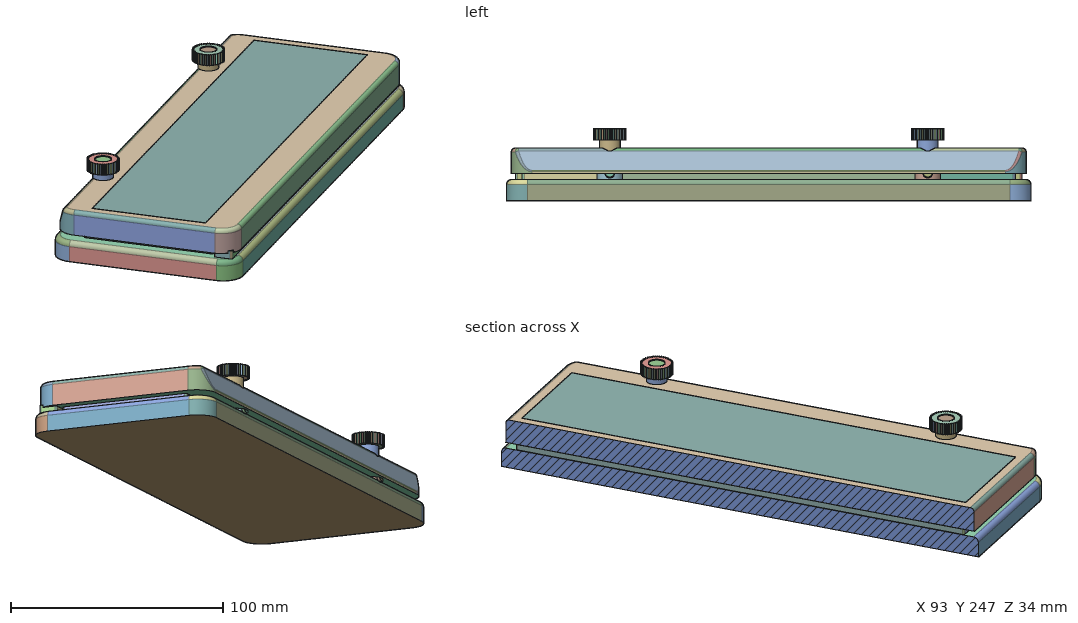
import cadquery as cq
import math

length = 247.0
width = 93.0
base_height = 10.1
base_fillet = 2.5
corner_radius = 10.0

lid_inset_x = 1.5
lid_inset_y = 2.2
lid_bottom = 12.8
lid_top = 25.0
lid_fillet = 2.0
slope_start = 14.0
slope_angle = 19.0

window_left = 18.3
window_width = 56.5
window_length = 229.7
window_depth = 0.12

plate_inset_y = 7.5
plate_left = 14.5
plate_right = 79.0
bar_inset_y = 4.2
bar_left = 80.5
bar_right = 89.7
support_corner_radius = 1.0

screw_x = 9.6
screw_spacing = 149.7
post_diameter = 11.9
collar_diameter = 10.0
knob_bottom = 28.7
knob_top = 34.0
knob_diameter = 15.3
knurl_count = 48
knurl_depth = 0.7
recess_diameter = 8.0
recess_depth = 0.5
pin_diameter = 4.5
pin_height = 13.3
pin_reach = 6.5
pin_length = 5.0

left_side = -width / 2
overlap = 1.2
support_bottom = base_height - overlap
support_top = lid_bottom + overlap


def block(x_from, x_to, y_length, z_from, z_to):
    """Box between two distances from the left side, centred along Y."""
    box = cq.Workplane("XY").box(x_to - x_from, y_length, z_to - z_from, centered=(False, True, False))
    return box.translate((left_side + x_from, 0, z_from))


def base():
    plate = block(0, width, length, 0, base_height)
    return plate.edges("|Z").fillet(corner_radius).faces(">Z").edges().fillet(base_fillet)


def lid():
    """Rounded cover whose left wall leans inward above a short upright strip."""
    body = block(lid_inset_x, width - lid_inset_x, length - 2 * lid_inset_y, lid_bottom, lid_top)
    body = body.edges("|Z").fillet(corner_radius)
    rise = lid_top - slope_start
    run = rise * math.tan(math.radians(slope_angle))
    wedge = (
        cq.Workplane("XZ")
        .moveTo(left_side + lid_inset_x, slope_start)
        .lineTo(left_side + lid_inset_x + run, lid_top)
        .lineTo(left_side + lid_inset_x, lid_top)
        .close()
        .extrude(length / 2, both=True)
    )
    body = body.cut(wedge)
    slope_normal = cq.Vector(-rise, 0, run)
    slope = body.faces(cq.selectors.ParallelDirSelector(slope_normal))
    rounded = slope.edges().add(body.faces(">Z").edges())
    return rounded.fillet(lid_fillet)


def window_recess():
    right = window_left + window_width
    return block(window_left, right, window_length, lid_top - window_depth, lid_top)


def support(x_from, x_to, inset_y):
    """Upright bar between the base and the lid, with its corners rounded."""
    bar = block(x_from, x_to, length - 2 * inset_y, support_bottom, support_top)
    return bar.edges("|Z").fillet(support_corner_radius)


def round_bar(diameter, z_from, z_to):
    """Cylinder on the Z axis."""
    return cq.Workplane("XY").workplane(offset=z_from).circle(diameter / 2).extrude(z_to - z_from)


def knob():
    """Knurled head: a toothed outline with a shallow round recess in its top."""
    outline = []
    for step in range(2 * knurl_count):
        radius = knob_diameter / 2 - knurl_depth * (step % 2)
        angle = math.pi * step / knurl_count
        outline.append((radius * math.cos(angle), radius * math.sin(angle)))
    head = cq.Workplane("XY").workplane(offset=knob_bottom).polyline(outline).close()
    head = head.extrude(knob_top - knob_bottom)
    return head.cut(round_bar(recess_diameter, knob_top - recess_depth, knob_top))


def tilted_pin():
    """Pin out of the post, square to the sloped left wall of the lid."""
    lean = math.radians(slope_angle)
    outward = cq.Vector(-math.cos(lean), 0, math.sin(lean))
    start = cq.Vector(-pin_reach, 0, pin_height) - outward * pin_length
    return cq.Workplane(cq.Solid.makeCylinder(pin_diameter / 2, pin_length, start, outward))


def screw():
    """Post, collar, knob and pin of one screw, on the Z axis."""
    post = round_bar(post_diameter, support_bottom, support_top)
    collar = round_bar(collar_diameter, support_top - overlap, knob_bottom)
    return post.union(collar).union(knob()).union(tilted_pin())


result = base().union(lid()).cut(window_recess())
result = result.union(support(plate_left, plate_right, plate_inset_y))
result = result.union(support(bar_left, bar_right, bar_inset_y))
for side in (-1, 1):
    result = result.union(screw().translate((left_side + screw_x, side * screw_spacing / 2, 0)))